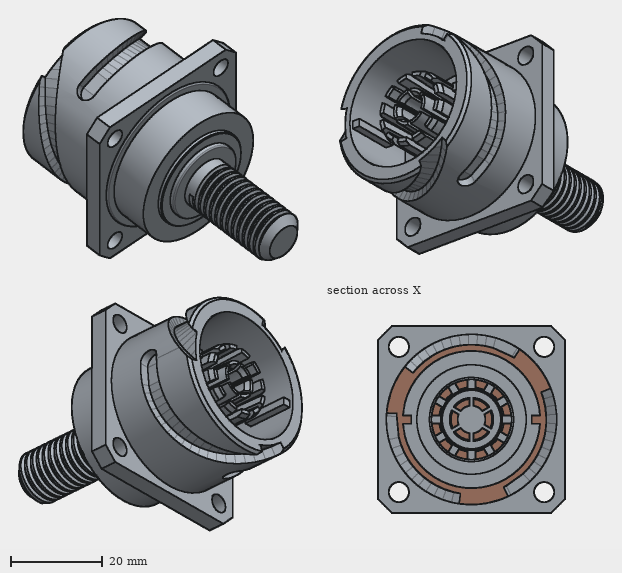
import cadquery as cq
import math

TOTAL_LENGTH = 64.2

SHELL_RADIUS = 18.7
SHELL_LIP_CHAMFER = 0.7
BORE_RADIUS = 15.0
BORE_DEPTH = 19.25
FLANGE_FRONT = 23.05
FLANGE_REAR = 27.15
FLANGE_SIDE = 41.0
FLANGE_CORNER_CHAMFER = 3.1
FLANGE_HOLE_SPACING = 31.85
FLANGE_HOLE_DIAMETER = 4.35

COLLAR_REAR = 27.55
COLLAR_RADIUS = 18.55
COLLAR_FILLET = 0.3
BODY_REAR = 36.9
BODY_RADIUS = 16.55
LARGE_DISC_REAR = 37.95
LARGE_DISC_RADIUS = 12.1
SMALL_DISC_REAR = 39.1
SMALL_DISC_RADIUS = 9.45
LARGE_DISC_CHAMFER = 0.2
SMALL_DISC_FILLET = 0.3

STUD_RADIUS = 6.1
STUD_TIP_CHAMFER = 1.9
THREAD_TURNS = 12.25
THREAD_LENGTH = 21.45
THREAD_PITCH = THREAD_LENGTH / THREAD_TURNS
THREAD_DEPTH = 0.85
THREAD_ROOT_WIDTH = 0.4
THREAD_GROOVE_WIDTH = 1.15
THREAD_START = 41.0
THREAD_START_ANGLE = 13
THREAD_OVERCUT = 0.25
STUD_SEAM_TURN = 200

SLOT_COUNT = 3
SLOT_WIDTH = 4.75
SLOT_FLOOR_RADIUS = 16.45
SLOT_END_X = 11.95
SLOT_END_ANGLE = 242.5
SLOT_STRAIGHT_SWEEP = 16.0
SLOT_FACET_SWEEP = 6.0
SLOT_FACETS = 21
SLOT_BEND_RADIUS = 50.1

KEY_WIDTH = 1.85
KEY_HEIGHT = 1.85
KEY_START = 1.0
KEY_LENGTH = 11.55

FINGER_TIP_X = 2.1
FINGER_CHAMFER_LENGTH = 1.3
FINGER_CHAMFER_END = FINGER_TIP_X + FINGER_CHAMFER_LENGTH
OUTER_RING_COUNT = 12
OUTER_RING_GAP = 1.7
OUTER_ROOT_INNER_RADIUS = 6.75
OUTER_ROOT_OUTER_RADIUS = 8.8
OUTER_TIP_INNER_RADIUS = 7.3
OUTER_TIP_OUTER_RADIUS = 8.3
INNER_RING_COUNT = 6
INNER_RING_GAP = 0.85
INNER_ROOT_INNER_RADIUS = 3.0
INNER_ROOT_OUTER_RADIUS = 4.8
INNER_TIP_INNER_RADIUS = 3.6
INNER_TIP_OUTER_RADIUS = 4.35

INSERT_RADIUS = 12.0
INSERT_HEIGHT = 0.3
GROOVE_INNER_RADIUS = 6.4
GROOVE_OUTER_RADIUS = 9.25
GROOVE_DEPTH = 0.65

OVERCUT = 1.3
EMBED = 0.3


def disc(start, end, radius):
    """Round bar along X."""
    return cq.Workplane("YZ").workplane(offset=start).circle(radius).extrude(end - start)


def revolved(points):
    """Solid of revolution about X from (x, radius) points."""
    return cq.Workplane("XY").polyline(points).close().revolve(360, (0, 0, 0), (1, 0, 0))


def make_shell():
    shell = disc(0, FLANGE_REAR, SHELL_RADIUS).faces("<X").edges().chamfer(SHELL_LIP_CHAMFER)
    flange = (
        cq.Workplane("YZ")
        .workplane(offset=FLANGE_FRONT)
        .rect(FLANGE_SIDE, FLANGE_SIDE)
        .extrude(FLANGE_REAR - FLANGE_FRONT)
        .edges("|X")
        .chamfer(FLANGE_CORNER_CHAMFER)
        .faces("<X")
        .workplane(origin=(FLANGE_FRONT, 0, 0))
        .rect(FLANGE_HOLE_SPACING, FLANGE_HOLE_SPACING, forConstruction=True)
        .vertices()
        .hole(FLANGE_HOLE_DIAMETER)
    )
    return shell.union(flange).cut(disc(0, BORE_DEPTH, BORE_RADIUS))


def make_rear_body():
    collar = disc(FLANGE_REAR, COLLAR_REAR, COLLAR_RADIUS).faces(">X").edges().fillet(COLLAR_FILLET)
    body = disc(COLLAR_REAR, BODY_REAR, BODY_RADIUS)
    large_disc = disc(BODY_REAR, LARGE_DISC_REAR, LARGE_DISC_RADIUS)
    small_disc = disc(LARGE_DISC_REAR, SMALL_DISC_REAR, SMALL_DISC_RADIUS)
    large_disc = large_disc.faces(">X").edges().chamfer(LARGE_DISC_CHAMFER)
    small_disc = small_disc.faces(">X").edges().fillet(SMALL_DISC_FILLET)
    return collar.union(body).union(large_disc).union(small_disc)


def make_stud():
    """Stud with a right-hand thread groove that starts near the -Y side."""
    stud = disc(SMALL_DISC_REAR, TOTAL_LENGTH, STUD_RADIUS)
    stud = stud.faces(">X").edges().chamfer(STUD_TIP_CHAMFER)
    stud = stud.rotate((0, 0, 0), (1, 0, 0), STUD_SEAM_TURN)
    helix = cq.Wire.makeHelix(THREAD_PITCH, THREAD_LENGTH, STUD_RADIUS)
    root_radius = STUD_RADIUS - THREAD_DEPTH
    rim_radius = STUD_RADIUS + THREAD_OVERCUT
    flank_slope = (THREAD_GROOVE_WIDTH - THREAD_ROOT_WIDTH) / 2 / THREAD_DEPTH
    root_half = THREAD_ROOT_WIDTH / 2
    rim_half = root_half + flank_slope * (rim_radius - root_radius)
    groove = (
        cq.Workplane("XZ")
        .polyline([
            (root_radius, -root_half),
            (rim_radius, -rim_half),
            (rim_radius, rim_half),
            (root_radius, root_half),
        ])
        .close()
        .sweep(cq.Workplane(obj=helix), isFrenet=True)
        .rotate((0, 0, 0), (0, 1, 0), 90)
        .rotate((0, 0, 0), (1, 0, 0), -90 - THREAD_START_ANGLE)
        .translate((THREAD_START, 0, 0))
    )
    return stud.cut(groove)


def slot_centre(sweep):
    """(x, slope) of the slot centre line, sweep degrees before the closed end."""
    arc = max(0.0, SHELL_RADIUS * math.radians(sweep - SLOT_STRAIGHT_SWEEP))
    return SLOT_END_X - arc ** 2 / (2 * SLOT_BEND_RADIUS), arc / SLOT_BEND_RADIUS


def slot_wall_point(sweep, side, radius):
    """Point on one slot wall; side is +1 for the rear wall and -1 for the front wall."""
    x, slope = slot_centre(sweep)
    stretch = math.hypot(1, slope)
    offset = side * SLOT_WIDTH / 2
    angle = math.radians(SLOT_END_ANGLE - sweep) - offset * slope / stretch / SHELL_RADIUS
    return cq.Vector(x + offset / stretch, radius * math.cos(angle), radius * math.sin(angle))


def ruled_patch(corners):
    """Four-sided face between two straight edges; the corners need not lie in one plane."""
    first, second, third, fourth = corners
    return cq.Face.makeRuledSurface(cq.Edge.makeLine(first, second), cq.Edge.makeLine(fourth, third))


def make_slot_cutter():
    """Bayonet slot: a channel of short straight facets, plus a round closed end."""
    top_radius = SHELL_RADIUS + OVERCUT
    corners = [(-1, SLOT_FLOOR_RADIUS), (1, SLOT_FLOOR_RADIUS), (1, top_radius), (-1, top_radius)]
    sweeps = [0.0]
    for i in range(SLOT_FACETS + 1):
        sweeps.append(SLOT_STRAIGHT_SWEEP + SLOT_FACET_SWEEP * i)
    sections = []
    for sweep in sweeps:
        sections.append([slot_wall_point(sweep, side, radius) for side, radius in corners])
    faces = [ruled_patch(sections[0]), ruled_patch(sections[-1])]
    for near, far in zip(sections, sections[1:]):
        for i in range(len(corners)):
            faces.append(ruled_patch([near[i - 1], near[i], far[i], far[i - 1]]))
    channel = cq.Solid.makeSolid(cq.Shell.makeShell(faces))
    end_angle = math.radians(SLOT_END_ANGLE)
    outward = cq.Vector(0, math.cos(end_angle), math.sin(end_angle))
    round_end = cq.Solid.makeCylinder(
        SLOT_WIDTH / 2,
        top_radius - SLOT_FLOOR_RADIUS,
        cq.Vector(SLOT_END_X, 0, 0) + outward * SLOT_FLOOR_RADIUS,
        outward,
    )
    return cq.Workplane(obj=channel).union(cq.Workplane(obj=round_end))


def make_insert_face():
    """Raised disc on the bore floor."""
    return disc(BORE_DEPTH - INSERT_HEIGHT, BORE_DEPTH + EMBED, INSERT_RADIUS)


def make_floor_groove():
    """Ring cutter for the recess in which the outer fingers stand."""
    start = BORE_DEPTH - INSERT_HEIGHT
    end = BORE_DEPTH + GROOVE_DEPTH
    return disc(start, end, GROOVE_OUTER_RADIUS).cut(disc(start, end, GROOVE_INNER_RADIUS))


def make_keys():
    height = KEY_HEIGHT + EMBED
    centre_radius = BORE_RADIUS - KEY_HEIGHT + height / 2
    return (
        cq.Workplane("YZ")
        .workplane(offset=KEY_START)
        .pushPoints([(-centre_radius, 0), (centre_radius, 0)])
        .rect(height, KEY_WIDTH)
        .extrude(KEY_LENGTH)
    )


def split_ring(ring, count, gap, first_gap_angle):
    """Cut evenly spaced radial gaps through a ring of fingers."""
    length = BORE_DEPTH - FINGER_TIP_X
    for i in range(count):
        blade = (
            cq.Workplane("XY")
            .box(length, BORE_RADIUS, gap, centered=(False, False, True))
            .translate((FINGER_TIP_X, 0, 0))
            .rotate((0, 0, 0), (1, 0, 0), first_gap_angle + 360 / count * i)
        )
        ring = ring.cut(blade)
    return ring


def make_outer_fingers():
    """Fingers that thin towards the tip on their inner side and are bevelled outside."""
    root_x = BORE_DEPTH + GROOVE_DEPTH + EMBED
    ring = revolved([
        (root_x, OUTER_ROOT_INNER_RADIUS),
        (FINGER_TIP_X, OUTER_TIP_INNER_RADIUS),
        (FINGER_TIP_X, OUTER_TIP_OUTER_RADIUS),
        (FINGER_CHAMFER_END, OUTER_ROOT_OUTER_RADIUS),
        (root_x, OUTER_ROOT_OUTER_RADIUS),
    ])
    return split_ring(ring, OUTER_RING_COUNT, OUTER_RING_GAP, 0)


def make_inner_fingers():
    """Fingers that thin towards the tip on their outer side and are bevelled inside."""
    root_x = BORE_DEPTH + EMBED
    ring = revolved([
        (root_x, INNER_ROOT_INNER_RADIUS),
        (FINGER_CHAMFER_END, INNER_ROOT_INNER_RADIUS),
        (FINGER_TIP_X, INNER_TIP_INNER_RADIUS),
        (FINGER_TIP_X, INNER_TIP_OUTER_RADIUS),
        (root_x, INNER_ROOT_OUTER_RADIUS),
    ])
    return split_ring(ring, INNER_RING_COUNT, INNER_RING_GAP, 180 / INNER_RING_COUNT)


shell = make_shell()
slot_cutter = make_slot_cutter()
for index in range(SLOT_COUNT):
    shell = shell.cut(slot_cutter.rotate((0, 0, 0), (1, 0, 0), 360 / SLOT_COUNT * index))

result = (
    shell.union(make_rear_body())
    .union(make_stud())
    .union(make_insert_face())
    .cut(make_floor_groove())
    .union(make_keys())
    .union(make_outer_fingers())
    .union(make_inner_fingers())
)